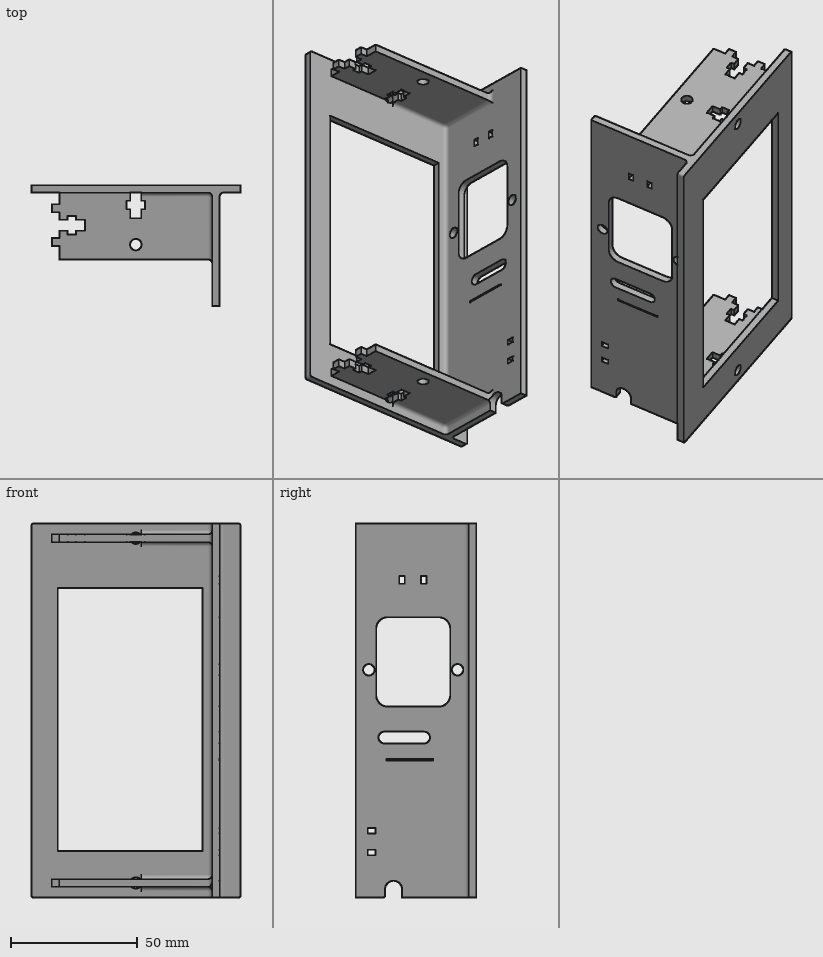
import cadquery as cq

width = 82.6
depth = 47.7
height = 147.8
thickness = 3.0
inner_fillet = 1.6
plate_corner_radius = 0.9

wall_left = 71.4
wall_right = wall_left + thickness
wall_mid = wall_left + thickness / 2

window_left, window_right = 10.5, 67.5
window_bottom, window_top = 18.5, 122.2

shelf_thickness = 3.1
shelf_left = 11.1
shelf_front = -29.4
shelf_inset = 4.3
shelf_bottoms = (shelf_inset, height - shelf_inset - shelf_thickness)

bolt_diameter = 4.5
bolt_slot_width = 4.3
bolt_slot_length = 10.0
nut_offset = 3.3
nut_thickness = 3.3
nut_width = 7.2
end_bolt_y = -15.8
back_bolt_x = 41.2
shelf_hole_y = -23.5

peg_length = 3.0
peg_width = 3.3
peg_offset = 6.7

socket_y = -25.0
socket_z = 93.1
socket_width = 29.1
socket_height = 35.2
socket_corner_radius = 4.5
socket_screw_pitch = 35.0
socket_screw_z = 90.0

tie_slot_long = 3.0
tie_slot_short = 2.0
tie_slot_pitch = 8.5
upper_ties_y = -25.1
upper_ties_z = 125.5
lower_ties_y = -41.4
lower_ties_z = 22.2

long_slot_y = -28.5
long_slot_z = 63.3
long_slot_length = 20.2
long_slot_height = 4.6
slit_y = -26.3
slit_z = 54.5
slit_length = 18.3
slit_height = 0.5

notch_back = shelf_front
notch_width = 6.7
notch_height = 6.7
notch_lip_radius = 0.9

pick_margin = 0.01


def block(x_range, y_range, z_range):
    """Axis-aligned box between the given limits."""
    size = [high - low for low, high in (x_range, y_range, z_range)]
    corner = (x_range[0], y_range[0], z_range[0])
    return cq.Workplane("XY").box(*size, centered=False).translate(corner)


def wall_sketch(y, z):
    """Workplane in the middle of the wall: local x is +Y, local y is +Z."""
    return cq.Workplane("YZ", origin=(wall_mid, y, z))


def through_wall(sketch):
    """Cutter that carries a wall sketch through the whole wall."""
    return sketch.extrude(thickness / 2, both=True)


def edges_in(solid, x_range, y_range, z_range):
    """Edges whose centres lie inside the given box."""
    low, high = zip(x_range, y_range, z_range)
    return solid.edges(cq.selectors.BoxSelector(low, high))


def around(value):
    """Narrow range about a coordinate."""
    return value - pick_margin, value + pick_margin


def make_plate():
    plate = block((0, width), (-thickness, 0), (0, height))
    plate = plate.edges("|Y").fillet(plate_corner_radius)
    window = block((window_left, window_right), (-thickness, 0), (window_bottom, window_top))
    return plate.cut(window)


def nut_slot():
    """Bolt slot opening at the origin and running along +X, crossed by a nut pocket."""
    slot = block((0, bolt_slot_length), (-bolt_slot_width / 2, bolt_slot_width / 2), (0, shelf_thickness))
    pocket = block(
        (nut_offset, nut_offset + nut_thickness),
        (-nut_width / 2, nut_width / 2),
        (0, shelf_thickness),
    )
    return slot.union(pocket)


def make_shelf(bottom):
    z_range = (bottom, bottom + shelf_thickness)
    shelf = block((shelf_left, wall_mid), (shelf_front, -thickness / 2), z_range)
    for side in (-1, 1):
        peg_y = end_bolt_y + side * peg_offset
        peg = block(
            (shelf_left - peg_length, shelf_left),
            (peg_y - peg_width / 2, peg_y + peg_width / 2),
            z_range,
        )
        shelf = shelf.union(peg)
    return shelf


def shelf_cuts(bottom):
    end_slot = nut_slot().translate((shelf_left, end_bolt_y, bottom))
    back_slot = nut_slot().rotate((0, 0, 0), (0, 0, 1), -90)
    back_slot = back_slot.translate((back_bolt_x, -thickness, bottom))
    hole = cq.Workplane("XY", origin=(back_bolt_x, shelf_hole_y, bottom))
    hole = hole.circle(bolt_diameter / 2).extrude(shelf_thickness)
    plate_hole = cq.Workplane("XZ", origin=(back_bolt_x, 0, bottom + shelf_thickness / 2))
    plate_hole = plate_hole.circle(bolt_diameter / 2).extrude(thickness)
    return end_slot.union(back_slot).union(hole).union(plate_hole)


def fillet_roots(body):
    """Round the inner corners where plate, wall and shelves meet."""
    plate_face = around(-thickness)
    wall_face = around(wall_left)
    shelf_side = (shelf_front - pick_margin, -thickness - pick_margin)
    right_of_bolt = (back_bolt_x + bolt_slot_width, wall_left)

    plate_to_wall = edges_in(body, (wall_left - pick_margin, wall_right + pick_margin), plate_face,
                             (0, height)).edges("|Z")
    roots = plate_to_wall.vals()
    for bottom in shelf_bottoms:
        shelf_z = (bottom - pick_margin, bottom + shelf_thickness + pick_margin)
        shelf_to_plate = edges_in(body, right_of_bolt, plate_face, shelf_z).edges("|X")
        shelf_to_wall = edges_in(body, wall_face, shelf_side, shelf_z)
        roots += shelf_to_plate.vals() + shelf_to_wall.vals()
    return body.newObject(roots).fillet(inner_fillet)


def socket_cuts():
    opening = through_wall(wall_sketch(socket_y, socket_z).rect(socket_width, socket_height))
    opening = opening.edges("|X").fillet(socket_corner_radius)
    screws = wall_sketch(socket_y, socket_screw_z).rarray(socket_screw_pitch, 1.5, 2, 1)
    return opening.union(through_wall(screws.circle(bolt_diameter / 2)))


def tie_cuts():
    upper = wall_sketch(upper_ties_y, upper_ties_z).rarray(tie_slot_pitch, 1.5, 2, 1)
    upper = through_wall(upper.rect(tie_slot_short, tie_slot_long))
    lower = wall_sketch(lower_ties_y, lower_ties_z).rarray(1.5, tie_slot_pitch, 1, 2)
    lower = through_wall(lower.rect(tie_slot_long, tie_slot_short))
    return upper.union(lower)


def long_slot_cuts():
    slot = wall_sketch(long_slot_y, long_slot_z).slot2D(long_slot_length, long_slot_height)
    slit = wall_sketch(slit_y, slit_z).rect(slit_length, slit_height)
    return through_wall(slot).union(through_wall(slit))


def notch_cut():
    """Rounded notch, wide enough in X to cut the shelf's front fillet as well."""
    front = -notch_width
    crown = notch_height - notch_width / 2
    lip_bulge = notch_lip_radius * (1 - 0.5 ** 0.5)
    outline = (
        wall_sketch(notch_back, 0)
        .lineTo(0, crown)
        .threePointArc((front / 2, notch_height), (front, crown))
        .lineTo(front, notch_lip_radius)
        .threePointArc((front - lip_bulge, lip_bulge), (front - notch_lip_radius, 0))
        .close()
    )
    return outline.extrude(thickness / 2 + inner_fillet, both=True)


wall = block((wall_left, wall_right), (-depth, -thickness / 2), (0, height))
body = make_plate().union(wall)
for bottom in shelf_bottoms:
    body = body.union(make_shelf(bottom))
for bottom in shelf_bottoms:
    body = body.cut(shelf_cuts(bottom))
body = fillet_roots(body)
for cutter in (socket_cuts(), tie_cuts(), long_slot_cuts(), notch_cut()):
    body = body.cut(cutter)

result = body